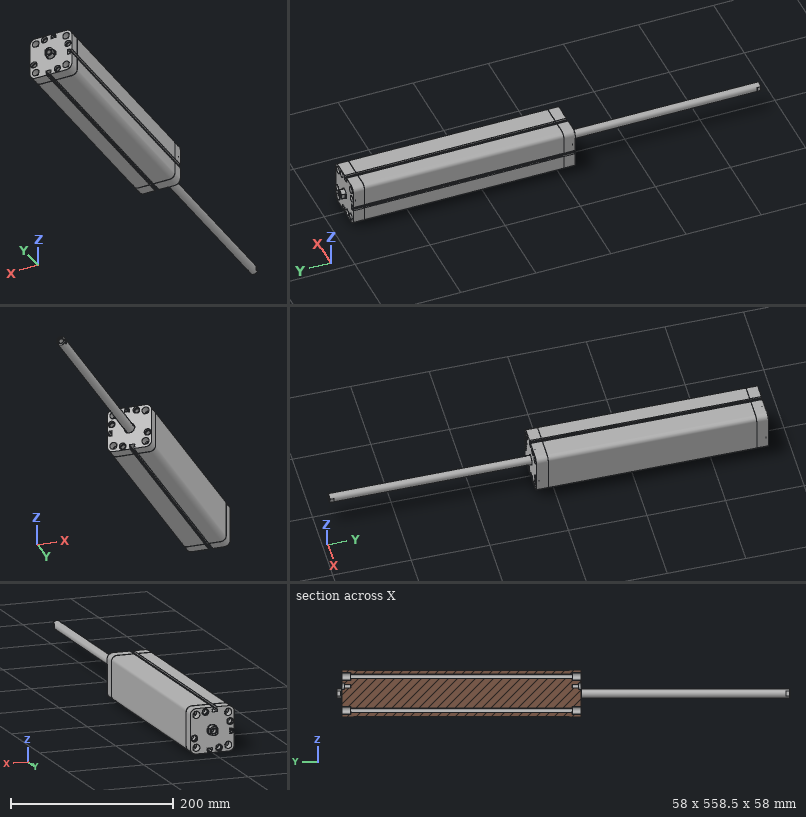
import cadquery as cq

total_length = 558.5
rod_front_y = -total_length / 2
rod_rear_y = total_length / 2
rod_rear_overhang = 6.0
housing_rear_y = rod_rear_y - rod_rear_overhang
housing_length = 295.5
housing_front_y = housing_rear_y - housing_length

housing_width = 58.0
half_width = housing_width / 2
barrel_width = 57.5
cap_length = 15.0
cap_corner_radius = 8.0
barrel_corner_radius = 6.5

slot_offset = 3.5
slot_mouth_width = 5.0
slot_inner_width = 6.5
slot_lip = 3.5
slot_depth = 6.0

corner_hole_spacing = 42.0
corner_hole_offset = corner_hole_spacing / 2
corner_hole_diameter = 4.9
corner_bore_diameter = 9.0
corner_bore_depth = 11.0

side_hole_edge_offset = 23.5
side_hole_shift = 9.0
side_bore_diameter = 8.5
side_bore_depth = 3.5
side_hole_diameter = 6.0
side_hole_depth = 11.0

rod_diameter = 12.0
rod_clearance_diameter = 13.5
rod_clearance_depth = 3.0
flat_width = 10.0
flat_length = 5.0
thread_diameter = 6.0
thread_mouth_diameter = 8.0
thread_chamfer = (thread_mouth_diameter - thread_diameter) / 2
thread_depth = 14.0
drill_point_length = thread_diameter / 2


def box_between(x_range, y_range, z_range):
    """Axis-aligned box given by its lower and upper limits."""
    sizes = [high - low for low, high in (x_range, y_range, z_range)]
    corner = (x_range[0], y_range[0], z_range[0])
    return cq.Workplane("XY").box(*sizes, centered=False).translate(corner)


def cylinder_along_y(diameter, start_y, end_y, x=0.0, z=0.0):
    """Cylinder parallel to Y, centred on (x, z)."""
    return cq.Workplane(
        cq.Solid.makeCylinder(
            diameter / 2, abs(end_y - start_y), cq.Vector(x, min(start_y, end_y), z), cq.Vector(0, 1, 0)
        )
    )


def rounded_block(width, start_y, end_y, corner_radius):
    """Square section of the housing with rounded long edges."""
    limits = (-width / 2, width / 2)
    return box_between(limits, (start_y, end_y), limits).edges("|Y").fillet(corner_radius)


def make_housing():
    front_joint_y = housing_front_y + cap_length
    rear_joint_y = housing_rear_y - cap_length
    front_cap = rounded_block(housing_width, housing_front_y, front_joint_y, cap_corner_radius)
    barrel = rounded_block(barrel_width, front_joint_y, rear_joint_y, barrel_corner_radius)
    rear_cap = rounded_block(housing_width, rear_joint_y, housing_rear_y, cap_corner_radius)
    return front_cap.union(barrel).union(rear_cap)


def make_slot(turn):
    """T-slot of the top side, turned about the Y axis by the given angle."""
    along = (housing_front_y, housing_rear_y)
    floor = half_width - slot_depth

    def channel(width, top):
        across = (-slot_offset - width / 2, -slot_offset + width / 2)
        return box_between(across, along, (floor, top))

    mouth = channel(slot_mouth_width, half_width)
    undercut = channel(slot_inner_width, half_width - slot_lip)
    return mouth.union(undercut).rotate((0, 0, 0), (0, 1, 0), turn)


def cut_corner_holes(body, face_y, inward):
    for x in (-corner_hole_offset, corner_hole_offset):
        for z in (-corner_hole_offset, corner_hole_offset):
            bore_floor_y = face_y + inward * corner_bore_depth
            body = body.cut(cylinder_along_y(corner_bore_diameter, face_y, bore_floor_y, x, z))
            body = body.cut(cylinder_along_y(corner_hole_diameter, housing_front_y, housing_rear_y, x, z))
    return body


def cut_side_holes(body, face_y, inward):
    positions = [
        (side_hole_shift, side_hole_edge_offset),
        (-side_hole_shift, -side_hole_edge_offset),
        (-side_hole_edge_offset, side_hole_shift),
        (side_hole_edge_offset, -side_hole_shift),
    ]
    for x, z in positions:
        body = body.cut(cylinder_along_y(side_bore_diameter, face_y, face_y + inward * side_bore_depth, x, z))
        body = body.cut(cylinder_along_y(side_hole_diameter, face_y, face_y + inward * side_hole_depth, x, z))
    return body


def cut_rod_clearance(body, face_y, inward):
    """Shallow ring around the rod; the rod itself is added afterwards."""
    return body.cut(cylinder_along_y(rod_clearance_diameter, face_y, face_y + inward * rod_clearance_depth))


def make_rod():
    rod = cylinder_along_y(rod_diameter, rod_front_y, rod_rear_y)
    for end_y, inward, end_face in ((rod_front_y, 1, "<Y"), (rod_rear_y, -1, ">Y")):
        flat_y = sorted((end_y, end_y + inward * flat_length))
        for side in (-1, 1):
            flat_x = sorted((side * flat_width / 2, side * rod_diameter))
            rod = rod.cut(box_between(flat_x, flat_y, (-rod_diameter, rod_diameter)))
        rod = rod.cut(cylinder_along_y(thread_diameter, end_y, end_y + inward * thread_depth))
        drill_point = cq.Solid.makeCone(
            thread_diameter / 2,
            0,
            drill_point_length,
            cq.Vector(0, end_y + inward * thread_depth, 0),
            cq.Vector(0, inward, 0),
        )
        rod = rod.cut(cq.Workplane(drill_point))
        mouth = rod.faces(end_face).edges("%CIRCLE").edges(cq.selectors.RadiusNthSelector(0))
        rod = mouth.chamfer(thread_chamfer)
    return rod


housing = make_housing()
for slot_turn in (0, 180, -90):
    housing = housing.cut(make_slot(slot_turn))
for cap_face_y, into_cap in ((housing_front_y, 1), (housing_rear_y, -1)):
    housing = cut_corner_holes(housing, cap_face_y, into_cap)
    housing = cut_side_holes(housing, cap_face_y, into_cap)
    housing = cut_rod_clearance(housing, cap_face_y, into_cap)

result = housing.union(make_rod())